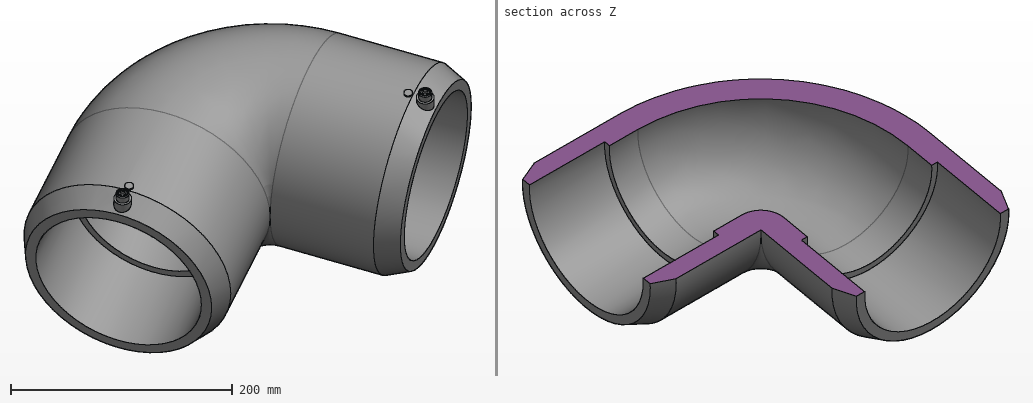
import cadquery as cq

overall_size = 322.0
outer_diameter = 200.0
outer_radius = outer_diameter / 2
arm_length = overall_size - outer_radius
bend_radius = outer_radius

socket_diameter = 160.0
bore_diameter = 146.5
socket_depth = 88.5

end_face_diameter = 180.0
mouth_taper_length = 22.2

terminal_inset = 10.3
terminal_base_diameter = 16.0
terminal_base_top = 101.5
terminal_post_diameter = 12.0
terminal_top = 109.2
terminal_root = 87.0
terminal_post_chamfer = 1.0
terminal_hole_diameter = 5.0
terminal_hole_depth = 4.8
terminal_counterbore_diameter = 8.0
terminal_counterbore_depth = 1.5
indicator_inset = 26.7
indicator_diameter = 8.0
indicator_top = terminal_base_top
indicator_root = 93.5


def bend(diameter):
    """Quarter torus joining the arms, turning about (bend_radius, -bend_radius)."""
    return (
        cq.Workplane("XZ", origin=(0, -bend_radius, 0))
        .circle(diameter / 2)
        .revolve(90, (bend_radius, 3.2), (bend_radius, 0))
    )


def along_y_and_x(arm_along_y):
    """Return the -Y arm feature and its twin on the +X arm."""
    return arm_along_y, arm_along_y.rotate((0, 0, 0), (0, 0, 1), 90)


def arm_body():
    """Cylindrical arm along -Y that tapers at its mouth."""
    taper_start = arm_length - mouth_taper_length
    profile = [
        (0, -bend_radius),
        (outer_radius, -bend_radius),
        (outer_radius, -taper_start),
        (end_face_diameter / 2, -arm_length),
        (0, -arm_length),
    ]
    return cq.Workplane("XY").polyline(profile).close().revolve(360, (0, 0), (0, 1))


def arm_cavity():
    """Straight bore with the wider pipe socket at the mouth."""
    mouth = cq.Workplane("XZ", origin=(0, -arm_length, 0))
    socket = mouth.circle(socket_diameter / 2).extrude(-socket_depth)
    bore = mouth.circle(bore_diameter / 2).extrude(bend_radius - arm_length)
    return socket.union(bore)


def upright_pin(inset, diameter, root, top):
    """Vertical pin above the -Y arm, set back from the mouth."""
    base = cq.Workplane("XY", origin=(0, inset - arm_length, root))
    return base.circle(diameter / 2).extrude(top - root)


def terminal():
    """Stepped contact terminal with a counterbored blind hole in its top."""
    base = upright_pin(terminal_inset, terminal_base_diameter, terminal_root, terminal_base_top)
    post = upright_pin(terminal_inset, terminal_post_diameter, terminal_root, terminal_top)
    post = post.faces(">Z").chamfer(terminal_post_chamfer)
    hole_floor = terminal_top - terminal_hole_depth
    hole = upright_pin(terminal_inset, terminal_hole_diameter, hole_floor, terminal_top)
    counterbore_floor = terminal_top - terminal_counterbore_depth
    counterbore = upright_pin(
        terminal_inset, terminal_counterbore_diameter, counterbore_floor, terminal_top
    )
    return base.union(post).cut(hole).cut(counterbore)


body = bend(outer_diameter)
for arm in along_y_and_x(arm_body()):
    body = body.union(arm)

indicator = upright_pin(indicator_inset, indicator_diameter, indicator_root, indicator_top)
for fitting in (terminal(), indicator):
    for placed_fitting in along_y_and_x(fitting):
        body = body.union(placed_fitting)

cavity = bend(bore_diameter)
for arm in along_y_and_x(arm_cavity()):
    cavity = cavity.union(arm)

result = body.cut(cavity)